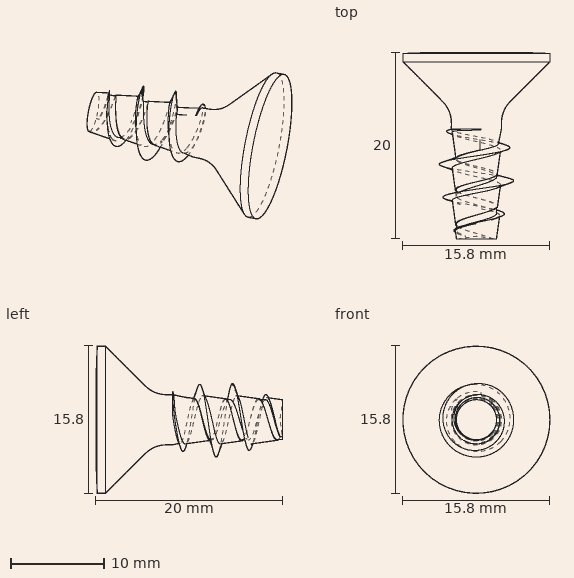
import cadquery as cq
import math

length = 20.0

head_radius = 7.9
crown_radius = 5.4
crown_height = 0.1
rim_end = 1.0
neck_radius = 2.7
neck_fillet = 3.2
neck_length = 0.68
head_half_angle = math.radians(45)

core_radius = 2.2
core_taper_length = 2.4
tip_radius = 2.15
tip_chamfer = 0.12
tip_dimple_depth = 0.3

pitch = 3.58
crest_radius = 4.0
thread_start = 7.4
thread_end = 19.7
full_height_start = 12.0
full_height_end = 14.3
growth_slope = 0.22
runout_slope = 0.33
flank_ratio = 0.32
land_radius = 2.6
land_slope = 0.14
root_inner_radius = 1.65
min_flank_width = 0.05
turn_gap = 0.1
lead_in_blend = 0.2
crest_at_plus_x = 10.18
sections_per_turn = 16

flare = neck_fillet * (1 - math.cos(head_half_angle))
cone_end_radius = neck_radius + flare
cone_end = rim_end + (head_radius - cone_end_radius) / math.tan(head_half_angle)
fillet_end = cone_end + neck_fillet * math.sin(head_half_angle)
neck_end = fillet_end + neck_length
core_taper_end = neck_end + core_taper_length


def make_body():
    """Revolve the head, filleted neck and plain core around the Y axis."""
    half_angle = head_half_angle / 2
    fillet_mid = (
        neck_radius + neck_fillet * (1 - math.cos(half_angle)),
        -(fillet_end - neck_fillet * math.sin(half_angle)),
    )
    profile = (
        cq.Workplane("XY")
        .moveTo(0, 0)
        .lineTo(crown_radius, 0)
        .lineTo(head_radius, -crown_height)
        .lineTo(head_radius, -rim_end)
        .lineTo(cone_end_radius, -cone_end)
        .threePointArc(fillet_mid, (neck_radius, -fillet_end))
        .lineTo(neck_radius, -neck_end)
        .lineTo(core_radius, -core_taper_end)
        .lineTo(tip_radius, -length)
        .lineTo(0, -length)
        .close()
    )
    return profile.revolve(360, (0, 0, 0), (0, 1, 0))


def crest_radius_at(depth):
    """Crest radius: grows from the neck, stays full, then runs out at the tip."""
    growing = crest_radius - growth_slope * (full_height_start - depth)
    shrinking = crest_radius - runout_slope * (depth - full_height_end)
    return min(crest_radius, growing, shrinking)


def thread_section(depth):
    """Corners of the axial section of the flight and its land, for this helix depth."""
    angle = 2 * math.pi * (depth - crest_at_plus_x) / pitch
    crest = crest_radius_at(depth)
    past_neck = depth - neck_end
    crest_depth = neck_end + (past_neck + math.hypot(past_neck, lead_in_blend)) / 2
    lead_in_offset = crest_depth - depth
    land_start = min(land_radius, tip_radius + land_slope * (length - depth))
    head_side = flank_ratio * (crest - root_inner_radius)
    tip_side = max(flank_ratio * (crest - land_start), min_flank_width)
    land_end = tip_side + (land_start - root_inner_radius) / land_slope
    land_end = min(land_end, pitch - head_side - turn_gap - lead_in_offset)
    land_end_radius = land_start - land_slope * (land_end - tip_side)
    outline = [
        (root_inner_radius, -head_side),
        (crest, 0),
        (land_start, tip_side),
        (land_end_radius, land_end),
        (root_inner_radius, land_end),
    ]
    return [
        cq.Vector(r * math.cos(angle), -(crest_depth + shift), r * math.sin(angle))
        for r, shift in outline
    ]


def make_thread():
    """Skin the sections along the helix and trim to the shank between neck and tip."""
    count = round((thread_end - thread_start) / pitch * sections_per_turn)
    step = (thread_end - thread_start) / count
    sections = [thread_section(thread_start + i * step) for i in range(count + 1)]
    corner_paths = [cq.Edge.makeSpline(list(path)) for path in zip(*sections)]
    faces = [
        cq.Face.makeRuledSurface(corner_paths[i - 1], corner_paths[i])
        for i in range(len(corner_paths))
    ]
    for end in (sections[0], sections[-1]):
        faces.append(cq.Face.makeFromWires(cq.Wire.makePolygon(end, close=True)))
    flight = cq.Workplane(obj=cq.Solid.makeSolid(cq.Shell.makeShell(faces)).fix())
    shank = (
        cq.Workplane("XZ", origin=(0, -neck_end, 0))
        .circle(head_radius)
        .extrude(length - neck_end)
    )
    return flight.intersect(shank)


def make_tip_dimple():
    """Shallow conical recess in the tip face, leaving a narrow rim."""
    return (
        cq.Workplane("XY")
        .moveTo(0, -length)
        .lineTo(tip_radius - tip_chamfer, -length)
        .lineTo(0, -(length - tip_dimple_depth))
        .close()
        .revolve(360, (0, 0, 0), (0, 1, 0))
    )


result = make_body().union(make_thread()).cut(make_tip_dimple())